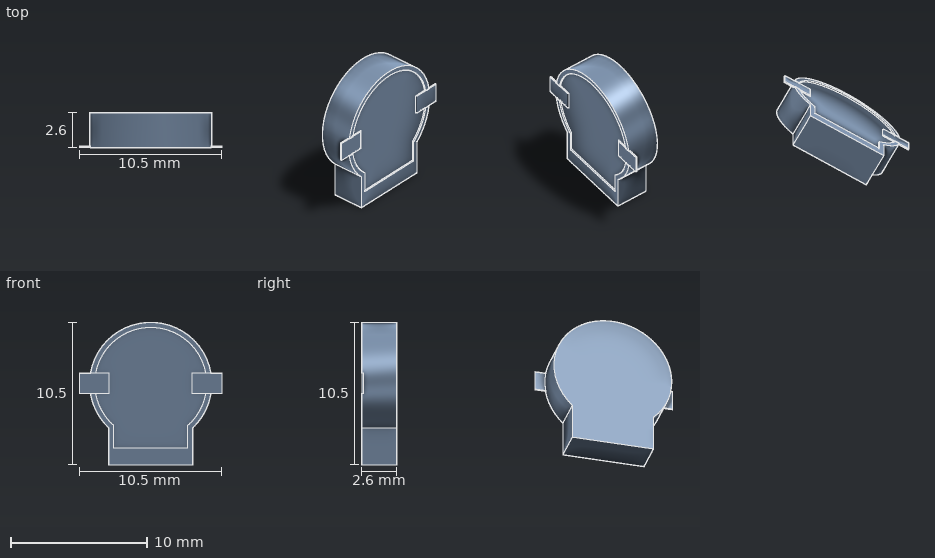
import cadquery as cq
import math

body_depth = 2.6
body_radius = 4.5
foot_half_width = 3.1
foot_bottom = 6.0

rim_width = 0.38
recess_radius = body_radius - rim_width
recess_half_width = foot_half_width - rim_width
recess_depth = 0.12
recess_bottom = 4.75

tab_thickness = 0.1
tab_height = 1.5
tab_setback = 0.03
tab_outer_x = 5.25
tab_inner_x = 3.05
tab_bend_radius = tab_thickness
tab_length = tab_outer_x - tab_inner_x
tab_back = tab_setback + tab_thickness


def keyhole(radius, half_width, bottom, depth):
    """Round shape with a straight-sided foot, extruded from Y = 0 towards +Y."""
    neck_z = -math.sqrt(radius**2 - half_width**2)
    return (
        cq.Workplane("XZ")
        .moveTo(-half_width, -bottom)
        .lineTo(-half_width, neck_z)
        .threePointArc((0, radius), (half_width, neck_z))
        .lineTo(half_width, -bottom)
        .close()
        .extrude(-depth)
    )


def tab_block(front_y, back_y):
    """Block over the footprint of the tab on the +X side."""
    return cq.Workplane("XY").box(
        tab_length, back_y - front_y, tab_height, centered=(False, False, True)
    ).translate((tab_inner_x, front_y, 0))


def make_housing():
    housing = keyhole(body_radius, foot_half_width, foot_bottom, body_depth)
    recess = keyhole(recess_radius, recess_half_width, recess_bottom, recess_depth)
    return housing.cut(recess)


def make_tab():
    """Tab on the +X side, its inner front edge rounded where the strip bends inwards."""
    tab = tab_block(tab_setback, tab_back)
    bend_x = tab_inner_x + tab_bend_radius
    bend_square = (
        cq.Workplane("XY")
        .box(tab_bend_radius, tab_thickness, tab_height, centered=(False, False, True))
        .translate((tab_inner_x, tab_setback, 0))
    )
    bend_round = (
        cq.Workplane("XY")
        .center(bend_x, tab_back)
        .circle(tab_bend_radius)
        .extrude(tab_height / 2, both=True)
    )
    return tab.cut(bend_square.cut(bend_round))


notch = tab_block(0, tab_setback)
tab = make_tab()

result = make_housing()
for rim_notch, terminal in ((notch, tab), (notch.mirror("YZ"), tab.mirror("YZ"))):
    result = result.cut(rim_notch).union(terminal)